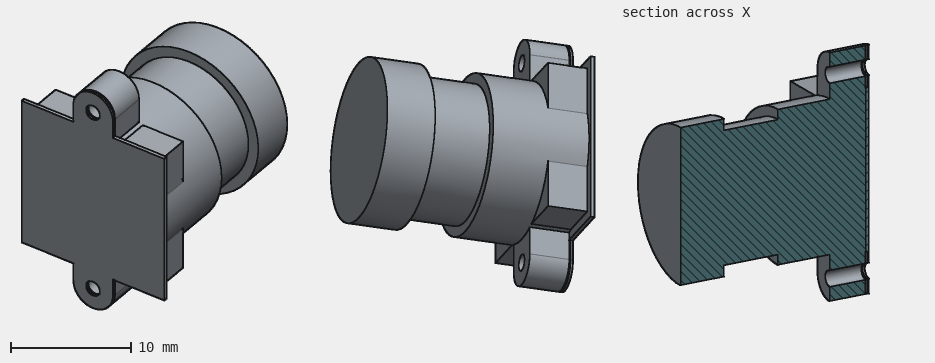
import cadquery as cq

board_side = 14.5
board_thickness = 0.35
tab_thickness = 0.22

mount_height = 22.0
mount_width = 4.0
mount_hole_diameter = 1.4
mount_hole_z = (mount_height - mount_width) / 2

base_diameter = 13.8
base_front_y = 8.82
barrel_diameter = 12.0
barrel_front_y = 14.0
rim_diameter = 14.0
rim_front_y = 18.22

foot_length = 3.48
block_inner = 2.27
block_outer = 6.47


def section_plane(y):
    """Workplane at depth y whose local axes are X and Z; extrude a negative length to go to +Y."""
    return cq.Workplane("XZ", origin=(0, y, 0))


def cylinder(diameter, start_y, end_y):
    return section_plane(start_y).circle(diameter / 2).extrude(start_y - end_y)


def mounting_strip(start_y, length):
    """Round-ended upright strip spanning both mounting holes."""
    return section_plane(start_y).slot2D(mount_height, mount_width, 90).extrude(-length)


def mounting_holes(end_y):
    """Pair of hole cutters from the rear face to end_y."""
    return (
        section_plane(0)
        .pushPoints([(0, -mount_hole_z), (0, mount_hole_z)])
        .circle(mount_hole_diameter / 2)
        .extrude(-end_y)
    )


def make_board():
    plate = section_plane(0).rect(board_side, board_side).extrude(-board_thickness)
    tabs = mounting_strip(0, tab_thickness)
    return plate.union(tabs).cut(mounting_holes(board_thickness))


def corner_blocks():
    block_side = block_outer - block_inner
    block_pitch = block_outer + block_inner
    return (
        section_plane(board_thickness)
        .rarray(block_pitch, block_pitch, 2, 2)
        .rect(block_side, block_side)
        .extrude(-foot_length)
    )


def make_lens_holder():
    base = cylinder(base_diameter, board_thickness, base_front_y)
    barrel = cylinder(barrel_diameter, base_front_y, barrel_front_y)
    rim = cylinder(rim_diameter, barrel_front_y, rim_front_y)
    lugs = mounting_strip(board_thickness, foot_length)
    holder = base.union(barrel).union(rim).union(corner_blocks()).union(lugs)
    return holder.cut(mounting_holes(board_thickness + foot_length))


board = make_board()
lens_holder = make_lens_holder()

result = cq.Compound.makeCompound([board.solids().val(), lens_holder.solids().val()])